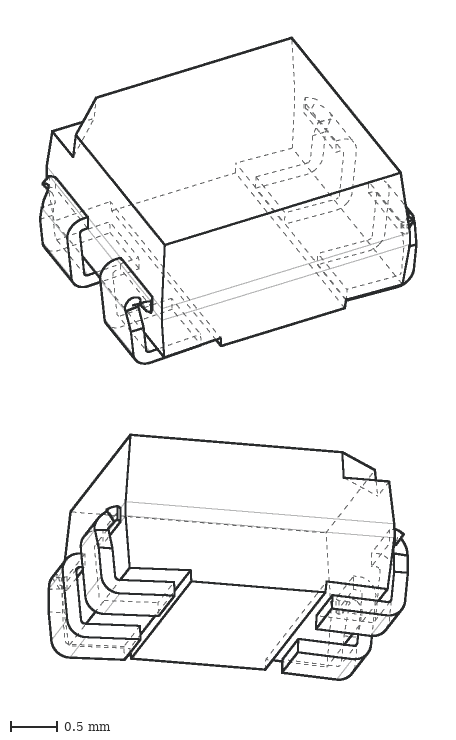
import cadquery as cq
import math

WIDTH = 2.8
LENGTH = 3.003
HEIGHT = 1.75
BAND_TOP = 0.952
BAND_BOTTOM = 0.79
BASE_Z = 0.125
UPPER_INSET = 0.075
LOWER_INSET = 0.07

STEP_BOTTOM_Y = 0.75
STEP_TOP_Y = 0.76
STEP_TOP_Z = 0.25

MARK_FLOOR_Z = 1.45
MARK_LEG = 0.49
MARK_DRAFT = 5.0

OVERALL_LENGTH = 3.5
THICKNESS = 0.155
BEND_RADIUS = 0.2
INNER_RADIUS = BEND_RADIUS - THICKNESS
NEUTRAL_RADIUS = 0.14
LEG_TILT = 5.3
FOOT_TILT = 2.5
FOOT_LENGTH = 0.612
ROOT_Y = 1.4
LEAD_INNER_X = 0.4
LEG_OUTER_X = 1.105
LUG_OUTER_X = 1.235
LUG_ROOT_X = 1.18
TAPER_END_Z = 0.508
NOTCH_RADIUS = 0.112
NOTCH_ANGLE = 68.0
LUG_TIP_ANGLE = 34.0
NOTCH_STEPS = 12

UPPER_BEND_Y = OVERALL_LENGTH / 2 - BEND_RADIUS
UPPER_BEND_Z = BAND_TOP - BEND_RADIUS
LOWER_BEND_Z = BEND_RADIUS
LOWER_BEND_Y = UPPER_BEND_Y - (UPPER_BEND_Z - LOWER_BEND_Z) * math.tan(math.radians(LEG_TILT))
UPPER_BEND_END = 90 + LEG_TILT
LOWER_BEND_END = 180 + FOOT_TILT

CUT_MARGIN = 0.07


def frustum(z_wide, z_narrow, inset):
    """Drafted block from the full outline to an outline reduced on every side."""
    return (
        cq.Workplane("XY", origin=(0, 0, z_wide))
        .rect(WIDTH, LENGTH)
        .workplane(offset=z_narrow - z_wide)
        .rect(WIDTH - 2 * inset, LENGTH - 2 * inset)
        .loft(ruled=True)
    )


def foot_clearance():
    """Sloped step under the +Y end of the housing, parallel to the foot."""
    outer_y = LENGTH / 2 + CUT_MARGIN
    outer_z = STEP_TOP_Z - (outer_y - STEP_TOP_Y) * math.tan(math.radians(FOOT_TILT))
    outline = [(STEP_BOTTOM_Y, BASE_Z), (STEP_TOP_Y, STEP_TOP_Z), (outer_y, outer_z), (outer_y, BASE_Z)]
    return cq.Workplane("YZ").polyline(outline).close().extrude(WIDTH / 2, both=True)


def corner_mark():
    """Triangular notch in the (-X, -Y) top corner with a slightly drafted wall."""
    corner_x = -WIDTH / 2 + UPPER_INSET
    corner_y = -LENGTH / 2 + UPPER_INSET
    depth = HEIGHT - MARK_FLOOR_Z
    floor_shift = depth * math.tan(math.radians(MARK_DRAFT)) * math.sqrt(2)
    overhang = UPPER_INSET + CUT_MARGIN

    def triangle(leg):
        reach = leg + overhang
        return [
            (corner_x - overhang, corner_y - overhang),
            (corner_x + reach, corner_y - overhang),
            (corner_x - overhang, corner_y + reach),
        ]

    return (
        cq.Workplane("XY", origin=(0, 0, MARK_FLOOR_Z))
        .polyline(triangle(MARK_LEG - floor_shift))
        .close()
        .workplane(offset=depth)
        .polyline(triangle(MARK_LEG))
        .close()
        .loft(ruled=True)
    )


def upper_bend_point(radius, angle):
    """(Y, Z) on the upper bend; the angle runs from straight up toward +Y."""
    a = math.radians(angle)
    return UPPER_BEND_Y + radius * math.sin(a), UPPER_BEND_Z + radius * math.cos(a)


def lower_bend_point(radius, angle):
    """(Y, Z) on the lower bend, with the same angle convention."""
    a = math.radians(angle)
    return LOWER_BEND_Y + radius * math.sin(a), LOWER_BEND_Z + radius * math.cos(a)


def foot_tip(radius):
    """(Y, Z) of the end of the foot on its outer or inner face."""
    y, z = lower_bend_point(radius, LOWER_BEND_END)
    tilt = math.radians(FOOT_TILT)
    return y - FOOT_LENGTH * math.cos(tilt), z + FOOT_LENGTH * math.sin(tilt)


def bent_strip():
    """Strip of constant thickness: root, upper bend, leg, lower bend, foot."""
    upper_mid = UPPER_BEND_END / 2
    lower_mid = (UPPER_BEND_END + LOWER_BEND_END) / 2
    return (
        cq.Workplane("YZ", origin=(LEAD_INNER_X, 0, 0))
        .moveTo(ROOT_Y, BAND_TOP)
        .lineTo(*upper_bend_point(BEND_RADIUS, 0))
        .threePointArc(upper_bend_point(BEND_RADIUS, upper_mid), upper_bend_point(BEND_RADIUS, UPPER_BEND_END))
        .lineTo(*lower_bend_point(BEND_RADIUS, UPPER_BEND_END))
        .threePointArc(lower_bend_point(BEND_RADIUS, lower_mid), lower_bend_point(BEND_RADIUS, LOWER_BEND_END))
        .lineTo(*foot_tip(BEND_RADIUS))
        .lineTo(*foot_tip(INNER_RADIUS))
        .lineTo(*lower_bend_point(INNER_RADIUS, LOWER_BEND_END))
        .threePointArc(lower_bend_point(INNER_RADIUS, lower_mid), lower_bend_point(INNER_RADIUS, UPPER_BEND_END))
        .lineTo(*upper_bend_point(INNER_RADIUS, UPPER_BEND_END))
        .threePointArc(upper_bend_point(INNER_RADIUS, upper_mid), upper_bend_point(INNER_RADIUS, 0))
        .lineTo(ROOT_Y, BAND_TOP - THICKNESS)
        .close()
        .extrude(LUG_OUTER_X - LEAD_INNER_X)
    )


def notch_point(turn):
    """(X, bend angle) on the round notch; the turn is in radians from its top toward the lug."""
    along = NOTCH_RADIUS * math.cos(turn) / NEUTRAL_RADIUS
    return LEG_OUTER_X + NOTCH_RADIUS * math.sin(turn), NOTCH_ANGLE - math.degrees(along)


def notch_turn(angle):
    """Unsigned turn at which the round notch reaches a bend angle."""
    return math.acos(math.radians(NOTCH_ANGLE - angle) * NEUTRAL_RADIUS / NOTCH_RADIUS)


NOTCH_END_TURN = -notch_turn(UPPER_BEND_END)


def bend_cut():
    """Lug end and round notch, cut through the upper bend square to its faces.

    The walls run radially from the bend axis, so two similar sections at
    different distances from the axis are joined by a ruled loft.
    """
    middle_angle = UPPER_BEND_END / 2
    near = INNER_RADIUS / 2
    far = BEND_RADIUS + CUT_MARGIN
    outer_x = LUG_OUTER_X + CUT_MARGIN
    lug_tip_turn = notch_turn(LUG_TIP_ANGLE)
    turn_step = (NOTCH_END_TURN - lug_tip_turn) / NOTCH_STEPS
    turns = [lug_tip_turn + i * turn_step for i in range(NOTCH_STEPS + 1)]

    def add_section(workplane, distance):
        def place(x, angle):
            return x, distance * math.tan(math.radians(angle - middle_angle))

        notch = [place(*notch_point(turn)) for turn in turns]
        return (
            workplane.moveTo(*place(outer_x, 0))
            .lineTo(*place(LUG_OUTER_X, 0))
            .lineTo(*notch[0])
            .spline(notch[1:], includeCurrent=True)
            .lineTo(*place(outer_x, UPPER_BEND_END))
            .close()
        )

    middle = math.radians(middle_angle)
    plane = cq.Plane(
        origin=(0, *upper_bend_point(near, middle_angle)),
        xDir=(1, 0, 0),
        normal=(0, math.sin(middle), math.cos(middle)),
    )
    near_section = add_section(cq.Workplane(plane), near)
    return add_section(near_section.workplane(offset=far - near), far).loft(ruled=True)


def leg_cut():
    """Material beside the leg and foot, with the taper below the round notch."""
    notch_end_x, _ = notch_point(NOTCH_END_TURN)
    outer_x = LUG_OUTER_X + CUT_MARGIN
    outline = [
        (notch_end_x, UPPER_BEND_Z),
        (LEG_OUTER_X, TAPER_END_Z),
        (LEG_OUTER_X, -CUT_MARGIN),
        (outer_x, -CUT_MARGIN),
        (outer_x, UPPER_BEND_Z),
    ]
    return cq.Workplane("XZ").polyline(outline).close().extrude(-OVERALL_LENGTH)


def lug_root_cut():
    """Bevel that narrows the flat part of the lug toward the housing."""
    outline = [(LUG_ROOT_X, LENGTH / 2), (LUG_OUTER_X, UPPER_BEND_Y), (LUG_OUTER_X, LENGTH / 2)]
    return cq.Workplane("XY").polyline(outline).close().extrude(HEIGHT)


housing = (
    cq.Workplane("XY", origin=(0, 0, BAND_BOTTOM))
    .rect(WIDTH, LENGTH)
    .extrude(BAND_TOP - BAND_BOTTOM)
    .union(frustum(BAND_TOP, HEIGHT, UPPER_INSET))
    .union(frustum(BAND_BOTTOM, BASE_Z, LOWER_INSET))
    .cut(foot_clearance())
    .cut(foot_clearance().mirror("XZ"))
    .cut(corner_mark())
)

lead = bent_strip().cut(bend_cut()).cut(leg_cut()).cut(lug_root_cut())
lead_pair = lead.union(lead.mirror("YZ"))
result = housing.union(lead_pair).union(lead_pair.mirror("XZ"))